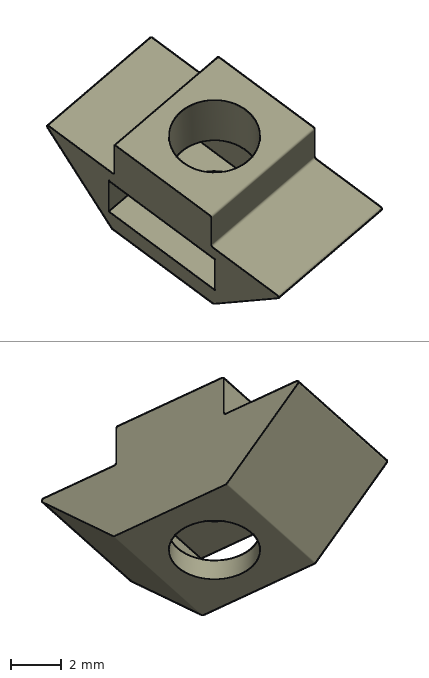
import cadquery as cq
import math

length = 12.49
depth = 6.0
height = 5.6

boss_width = 5.25
flange_top = 3.65
edge_radius = 0.1
flank_angle = 45.0

hole_diameter = 3.6

pocket_width = 5.72
pocket_height = 2.0
pocket_floor = 0.97
pocket_offset = -0.05
pocket_depth = 5.0

half_boss = boss_width / 2
flank_radians = math.radians(flank_angle)
apex_overhang = edge_radius * (1 / math.tan(flank_radians / 2) - 1)
half_apex = length / 2 + apex_overhang
half_base = half_apex - flange_top / math.tan(flank_radians)


def make_body():
    """T-slot profile extruded along Y, with its long edges rounded."""
    right_side = [
        (half_base, 0),
        (half_apex, flange_top),
        (half_boss, flange_top),
        (half_boss, height),
    ]
    left_side = [(-x, z) for x, z in reversed(right_side)]
    profile = cq.Workplane("XZ").polyline(right_side + left_side).close()
    body = profile.extrude(depth / 2, both=True)
    return body.edges("|Y").fillet(edge_radius)


def make_hole():
    return cq.Workplane("XY").circle(hole_diameter / 2).extrude(height)


def make_pocket():
    pocket = cq.Workplane("XY").box(
        pocket_width, pocket_depth, pocket_height, centered=(True, False, False)
    )
    return pocket.translate((pocket_offset, -depth / 2, pocket_floor))


result = make_body().cut(make_hole()).cut(make_pocket())